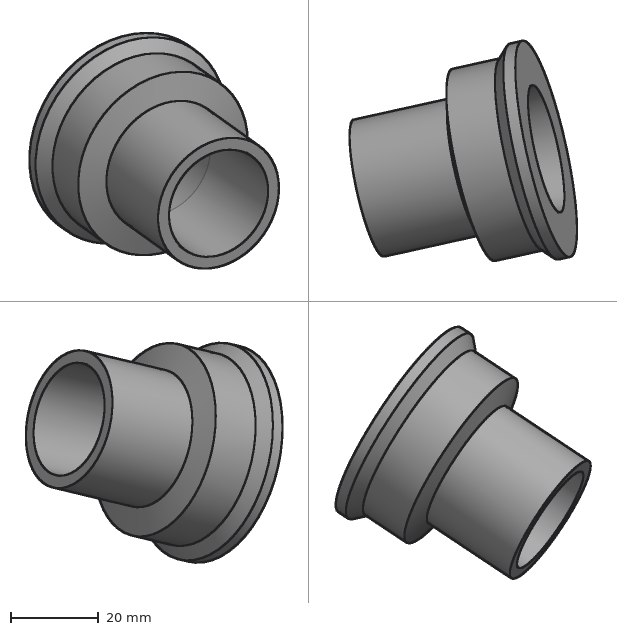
import cadquery as cq

total_length = 42.0

flange_diameter = 50.5
body_diameter = 44.9
spigot_diameter = 32.0

flange_thickness = 2.85
flange_taper_length = (flange_diameter - body_diameter) / 2
body_end = 17.15
shoulder_length = 1.7

bore_mouth_diameter = 29.7
bore_diameter = 26.2
bore_taper_length = 16.15

body_start = flange_thickness + flange_taper_length
spigot_start = body_end + shoulder_length

half_section = (
    cq.Workplane("XY")
    .moveTo(0, bore_mouth_diameter / 2)
    .lineTo(0, flange_diameter / 2)
    .lineTo(flange_thickness, flange_diameter / 2)
    .lineTo(body_start, body_diameter / 2)
    .lineTo(body_end, body_diameter / 2)
    .lineTo(spigot_start, spigot_diameter / 2)
    .lineTo(total_length, spigot_diameter / 2)
    .lineTo(total_length, bore_diameter / 2)
    .lineTo(bore_taper_length, bore_diameter / 2)
    .close()
)

result = half_section.revolve(360, (0, 0, 0), (1, 0, 0))